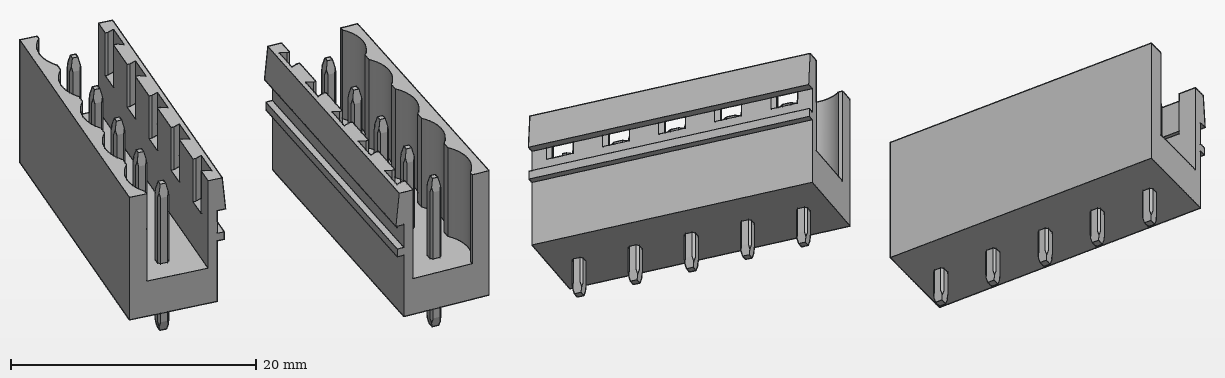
import cadquery as cq

pin_count = 5
pitch = 5.0

length = pin_count * pitch
height = 12.0
floor_height = 3.45
front_wall = 1.52
channel_back = 6.88
back_face = 7.7

lip_top_y = 8.12
lip_bottom_y = 8.42
lip_bottom_z = 8.88

rail_y = 8.3
rail_bottom_z = 5.92
rail_top_z = 6.68

slot_mouth_width = 1.88
slot_back_width = 2.4
slot_neck_depth = 0.25
slot_bottom_z = 7.82

scallop_width = 4.25
scallop_depth = 0.78

pin_y = 3.8
pin_width = 1.0
pin_chamfer = 0.2
pin_bottom_z = -3.2
pin_lower_shoulder_z = -2.3
pin_upper_shoulder_z = 9.85
pin_top_z = 11.05
pin_bottom_tip_width = 0.6
pin_top_tip_width = 0.48

pin_positions = [(i - (pin_count - 1) / 2) * pitch for i in range(pin_count)]


def make_channel():
    """U-shaped profile in YZ, with the lip and rail on its back, extruded along X."""
    profile = [
        (0, 0),
        (back_face, 0),
        (back_face, rail_bottom_z),
        (rail_y, rail_bottom_z),
        (rail_y, rail_top_z),
        (back_face, rail_top_z),
        (back_face, lip_bottom_z),
        (lip_bottom_y, lip_bottom_z),
        (lip_top_y, height),
        (channel_back, height),
        (channel_back, floor_height),
        (front_wall, floor_height),
        (front_wall, height),
        (0, height),
    ]
    return cq.Workplane("YZ").polyline(profile).close().extrude(length / 2, both=True)


def make_slot_cutter(x):
    """Dovetail slot with a straight neck, open to the channel and to the top."""
    mouth = slot_mouth_width / 2
    back = slot_back_width / 2
    neck_y = channel_back + slot_neck_depth
    outline = [
        (x - mouth, channel_back),
        (x + mouth, channel_back),
        (x + mouth, neck_y),
        (x + back, back_face),
        (x - back, back_face),
        (x - mouth, neck_y),
    ]
    plane = cq.Workplane("XY").workplane(offset=slot_bottom_z)
    return plane.polyline(outline).close().extrude(height - slot_bottom_z)


def make_scallop_cutter(x):
    """Shallow circular segment cut into the front wall, from the floor to the top."""
    half = scallop_width / 2
    return (
        cq.Workplane("XY")
        .workplane(offset=floor_height)
        .moveTo(x - half, front_wall)
        .threePointArc((x, front_wall - scallop_depth), (x + half, front_wall))
        .close()
        .extrude(height - floor_height)
    )


def make_taper(x, shoulder_z, tip_z, tip_width):
    """Square frustum from the full pin section at the shoulder to the tip."""
    return (
        cq.Workplane("XY", origin=(x, pin_y, shoulder_z))
        .rect(pin_width, pin_width)
        .workplane(offset=tip_z - shoulder_z)
        .rect(tip_width, tip_width)
        .loft(ruled=True)
    )


def make_pin_bar(x, bottom_z, top_z):
    """Square bar with its four long edges chamfered."""
    return (
        cq.Workplane("XY", origin=(x, pin_y, bottom_z))
        .rect(pin_width, pin_width)
        .extrude(top_z - bottom_z)
        .edges("|Z")
        .chamfer(pin_chamfer)
    )


def make_pin(x):
    """Chamfered bar trimmed to a taper at each end."""
    envelope = (
        cq.Workplane("XY", origin=(x, pin_y, pin_lower_shoulder_z))
        .rect(pin_width, pin_width)
        .extrude(pin_upper_shoulder_z - pin_lower_shoulder_z)
        .union(make_taper(x, pin_upper_shoulder_z, pin_top_z, pin_top_tip_width))
        .union(make_taper(x, pin_lower_shoulder_z, pin_bottom_z, pin_bottom_tip_width))
    )
    return make_pin_bar(x, pin_bottom_z, pin_top_z).intersect(envelope)


def make_housing():
    """Channel with a slot, a scallop and a matching pin hole at every pin position."""
    body = make_channel()
    for x in pin_positions:
        body = body.cut(make_slot_cutter(x))
        body = body.cut(make_scallop_cutter(x))
        body = body.cut(make_pin_bar(x, 0, floor_height))
    return body


housing = make_housing()
pins = [make_pin(x) for x in pin_positions]

result = cq.Compound.makeCompound([
    housing.solids().val(),
    *[pin.solids().val() for pin in pins],
])